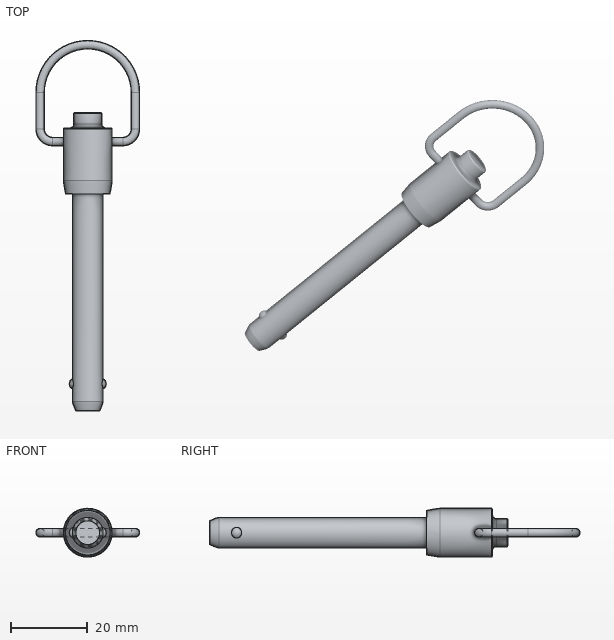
import cadquery as cq
import math

overall_length = 96.5
tip_length = 2.4
ball_y = 7.0
body_bottom = 56.5
body_taper_top = 60.0
body_top = 73.7
button_top = 77.7

tip_radius = 3.1
shank_radius = 4.0
body_end_radius = 5.8
body_radius = 6.4
button_radius = 3.7
collar_fillet = 1.0
body_edge_chamfer = 0.3
button_edge_chamfer = 0.3

ball_radius = 1.4
ball_reach = 4.8

ring_width = 27.0
wire_radius = 1.11
corner_radius = 3.3
ring_straight_top = 83.0
ring_straight_bottom = 73.4

diagonal = math.sqrt(0.5)


def taper_arc(profile, start_radius, end_radius, start_y, end_y, bulge):
    """Add a convex arc whose middle lies `bulge` outside its chord."""
    middle = ((start_radius + end_radius) / 2 + bulge, (start_y + end_y) / 2)
    return profile.threePointArc(middle, (end_radius, end_y))


def make_pin():
    """Shank, handle body and push button, revolved about the Y axis."""
    tip_bulge = 0.1
    body_bulge = 0.06
    fillet_mid_offset = collar_fillet * (1 - diagonal)

    profile = cq.Workplane("XY").lineTo(tip_radius, 0)
    profile = taper_arc(profile, tip_radius, shank_radius, 0, tip_length, tip_bulge)
    profile = profile.lineTo(shank_radius, body_bottom).lineTo(body_end_radius, body_bottom)
    profile = taper_arc(profile, body_end_radius, body_radius, body_bottom, body_taper_top, body_bulge)
    profile = (
        profile.lineTo(body_radius, body_top - body_edge_chamfer)
        .lineTo(body_radius - body_edge_chamfer, body_top)
        .lineTo(button_radius + collar_fillet, body_top)
        .threePointArc(
            (button_radius + fillet_mid_offset, body_top + fillet_mid_offset),
            (button_radius, body_top + collar_fillet),
        )
        .lineTo(button_radius, button_top - button_edge_chamfer)
        .lineTo(button_radius - button_edge_chamfer, button_top)
        .lineTo(0, button_top)
        .close()
    )
    return profile.revolve(360, (0, 0, 0), (0, 1, 0))


def make_ring():
    """Round wire loop whose lower bar passes through the handle body."""
    side_x = ring_width / 2 - wire_radius
    bar_y = ring_straight_bottom - corner_radius
    bar_end_x = side_x - corner_radius
    corner_mid_x = bar_end_x + corner_radius * diagonal
    corner_mid_y = ring_straight_bottom - corner_radius * diagonal
    loop_top = overall_length - wire_radius

    path = (
        cq.Workplane("XY")
        .moveTo(0, bar_y)
        .lineTo(bar_end_x, bar_y)
        .threePointArc((corner_mid_x, corner_mid_y), (side_x, ring_straight_bottom))
        .lineTo(side_x, ring_straight_top)
        .threePointArc((0, loop_top), (-side_x, ring_straight_top))
        .lineTo(-side_x, ring_straight_bottom)
        .threePointArc((-corner_mid_x, corner_mid_y), (-bar_end_x, bar_y))
        .close()
    )
    return cq.Workplane("YZ").center(bar_y, 0).circle(wire_radius).sweep(path)


result = make_pin().union(make_ring())
for side in (-1, 1):
    ball_x = side * (ball_reach - ball_radius)
    ball = cq.Workplane("XY").sphere(ball_radius).translate((ball_x, ball_y, 0))
    result = result.union(ball)